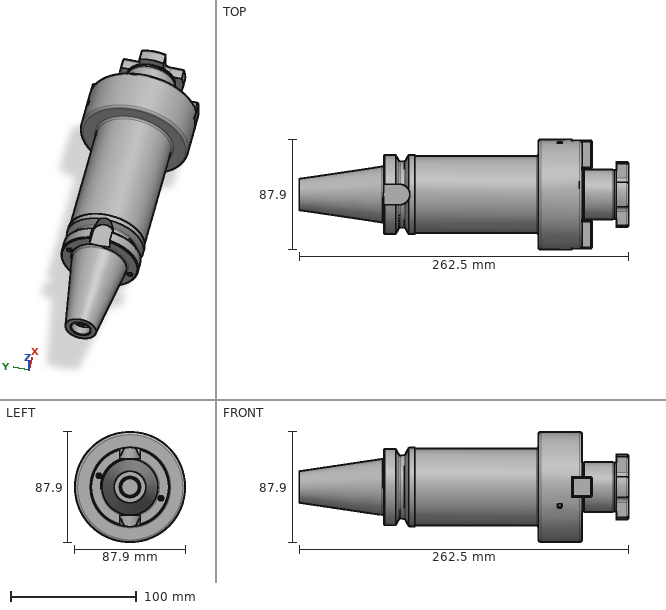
import cadquery as cq
import math


taper_small_radius = 12.5
taper_large_radius = 22.3
taper_length = 65.3
bore_radius = 8.0
bore_depth = 8.0
thread_radius = 6.8
thread_depth = 31.5
bore_chamfer = 0.5

flange_radius = 31.5
flange_start = 67.5
flange_end = 91.8
flange_chamfer = 0.8
root_fillet = 1.0
groove_radius = 26.5
groove_floor_start = 79.8
groove_floor_end = 84.2
groove_fillet = 1.0
groove_wall_angle = math.radians(60)
groove_wall_run = (flange_radius - groove_radius) / math.tan(groove_wall_angle)

keyway_width = 16.3
keyway_floor = 22.5
keyway_tip = 88.2

shaft_radius = 30.7
shaft_fillet = 1.5
flange_step = flange_radius - shaft_radius
collar_start = 190.2
collar_end = 225.1
collar_radius = 43.95
collar_back_fillet = 2.0
collar_front_fillet = 2.0
pilot_radius = 20.0
pilot_end = 250.5
pilot_chamfer_length = 1.5
pilot_chamfer_drop = 0.3
relief_radius = 19.5
relief_floor = 1.3
relief_ramp = pilot_radius - relief_radius

key_width = 16.5
key_start = 216.7
key_end = 233.3
key_inner = 20.5
key_outer = 43.3
key_chamfer = 1.3

hole_angle = 20.0
coolant_hole_radius = 2.0
coolant_hole_circle = 26.2
set_screw_recess = 1.5
set_screw_chamfer = 0.5
set_screw_length = 4.0
set_screw_socket_diameter = 1.8
set_screw_socket_depth = 2.5
coolant_hole_depth = set_screw_recess + set_screw_length
side_hole_x = 207.3
side_hole_radius = 1.97
side_hole_depth = 3.1

screw_end = 262.5
head_start = 252.5
head_radius = 26.0
wide_lobe_width = 19.7
narrow_lobe_width = 16.5
lobe_fillet = 3.7
head_edge_fillet = 2.0
shoulder_radius = 19.7


def x_cylinder(start, end, radius):
    return cq.Workplane("YZ", origin=(start, 0, 0)).circle(radius).extrude(end - start)


def block(x_range, y_range, z_range):
    size = [high - low for low, high in (x_range, y_range, z_range)]
    corner = (x_range[0], y_range[0], z_range[0])
    return cq.Workplane("XY").box(*size, centered=False).translate(corner)


def turned_body():
    corner_setback = groove_fillet * math.tan(groove_wall_angle / 2)
    corner_run = corner_setback * math.cos(groove_wall_angle)
    corner_rise = corner_setback * math.sin(groove_wall_angle)
    profile = (
        cq.Workplane("XZ")
        .moveTo(0, 0)
        .lineTo(0, taper_small_radius)
        .lineTo(taper_length, taper_large_radius)
        .lineTo(flange_start - root_fillet, taper_large_radius)
        .radiusArc((flange_start, taper_large_radius + root_fillet), -root_fillet)
        .lineTo(flange_start, flange_radius - flange_chamfer)
        .lineTo(flange_start + flange_chamfer, flange_radius)
        .lineTo(groove_floor_start - groove_wall_run, flange_radius)
        .lineTo(groove_floor_start - corner_run, groove_radius + corner_rise)
        .radiusArc((groove_floor_start + corner_setback, groove_radius), -groove_fillet)
        .lineTo(groove_floor_end - corner_setback, groove_radius)
        .radiusArc((groove_floor_end + corner_run, groove_radius + corner_rise), -groove_fillet)
        .lineTo(groove_floor_end + groove_wall_run, flange_radius)
        .lineTo(flange_end, flange_radius)
        .radiusArc((flange_end + flange_step, shaft_radius), -flange_step)
        .lineTo(collar_start - shaft_fillet, shaft_radius)
        .radiusArc((collar_start, shaft_radius + shaft_fillet), -shaft_fillet)
        .lineTo(collar_start, collar_radius - collar_back_fillet)
        .radiusArc((collar_start + collar_back_fillet, collar_radius), collar_back_fillet)
        .lineTo(collar_end - collar_front_fillet, collar_radius)
        .radiusArc((collar_end, collar_radius - collar_front_fillet), collar_front_fillet)
        .lineTo(collar_end, relief_radius)
        .lineTo(collar_end + relief_floor, relief_radius)
        .lineTo(collar_end + relief_floor + relief_ramp, pilot_radius)
        .lineTo(pilot_end - pilot_chamfer_length, pilot_radius)
        .lineTo(pilot_end, pilot_radius - pilot_chamfer_drop)
        .lineTo(pilot_end, 0)
        .close()
    )
    return profile.revolve(360, (0, 0, 0), (1, 0, 0))


def taper_bore():
    profile = (
        cq.Workplane("XZ")
        .moveTo(0, 0)
        .lineTo(0, bore_radius + bore_chamfer)
        .lineTo(bore_chamfer, bore_radius)
        .lineTo(bore_depth, bore_radius)
        .lineTo(bore_depth + bore_radius - thread_radius, thread_radius)
        .lineTo(thread_depth, thread_radius)
        .lineTo(thread_depth, 0)
        .close()
    )
    return profile.revolve(360, (0, 0, 0), (1, 0, 0))


def keyway(side):
    """Round-ended slot in the flange, on the +Z side for side = 1 and on -Z for side = -1."""
    end_radius = keyway_width / 2
    straight_end = keyway_tip - end_radius
    slot = (
        cq.Workplane("XY", origin=(0, 0, side * keyway_floor))
        .moveTo(flange_start - root_fillet, -end_radius)
        .lineTo(straight_end, -end_radius)
        .threePointArc((keyway_tip, 0), (straight_end, end_radius))
        .lineTo(flange_start - root_fillet, end_radius)
        .close()
    )
    return slot.extrude(side * flange_radius)


def key_slot(side):
    y_range = sorted((side * key_inner, side * collar_radius))
    return block((key_start, key_end), y_range, (-key_width / 2, key_width / 2))


def coolant_hole():
    hole = x_cylinder(flange_start, flange_start + coolant_hole_depth, coolant_hole_radius)
    return hole.translate((0, coolant_hole_circle, 0))


def side_hole():
    return (
        cq.Workplane("XZ", origin=(side_hole_x, collar_radius, 0))
        .circle(side_hole_radius)
        .extrude(side_hole_depth)
    )


def tilted(shape, side):
    """Turn a shape lying on +Y to the hole plane, at +Y for side = 1 and at -Y for side = -1."""
    angle = hole_angle if side > 0 else hole_angle + 180
    return shape.rotate((0, 0, 0), (1, 0, 0), angle)


def make_arbor():
    arbor = turned_body().cut(taper_bore())
    for side in (1, -1):
        arbor = arbor.cut(keyway(side))
        arbor = arbor.cut(key_slot(side))
        arbor = arbor.cut(tilted(coolant_hole(), side))
        arbor = arbor.cut(tilted(side_hole(), side))
    return arbor


def make_drive_key(side):
    key = block((key_start, key_end), (key_inner, key_outer), (-key_width / 2, key_width / 2))
    key = key.edges().chamfer(key_chamfer)
    return key if side > 0 else key.rotate((0, 0, 0), (1, 0, 0), 180)


def make_set_screw(side):
    start = flange_start + set_screw_recess
    screw = (
        x_cylinder(start, start + set_screw_length, coolant_hole_radius)
        .faces("<X")
        .edges()
        .chamfer(set_screw_chamfer)
        .faces("<X")
        .workplane()
        .polygon(6, set_screw_socket_diameter)
        .cutBlind(-set_screw_socket_depth)
    )
    return tilted(screw.translate((0, coolant_hole_circle, 0)), side)


def make_retaining_screw():
    head_length = screw_end - head_start
    across = 2 * head_radius
    upright = cq.Workplane("XY").box(head_length, wide_lobe_width, across)
    level = cq.Workplane("XY").box(head_length, across, narrow_lobe_width)
    inner_corners = cq.selectors.BoxSelector(
        (-head_length, -head_radius / 2, -head_radius / 2),
        (head_length, head_radius / 2, head_radius / 2),
    )
    cross = upright.union(level).edges("|X").edges(inner_corners).fillet(lobe_fillet)
    cross = cross.translate((head_start + head_length / 2, 0, 0))
    head = cross.intersect(x_cylinder(head_start, screw_end, head_radius))
    head = head.faces(">X").edges().fillet(head_edge_fillet)
    return head.union(x_cylinder(pilot_end, head_start, shoulder_radius))


arbor = make_arbor()
drive_keys = [make_drive_key(side) for side in (1, -1)]
set_screws = [make_set_screw(side) for side in (1, -1)]
retaining_screw = make_retaining_screw()

bodies = [arbor, *drive_keys, *set_screws, retaining_screw]
result = cq.Compound.makeCompound([body.val() for body in bodies])